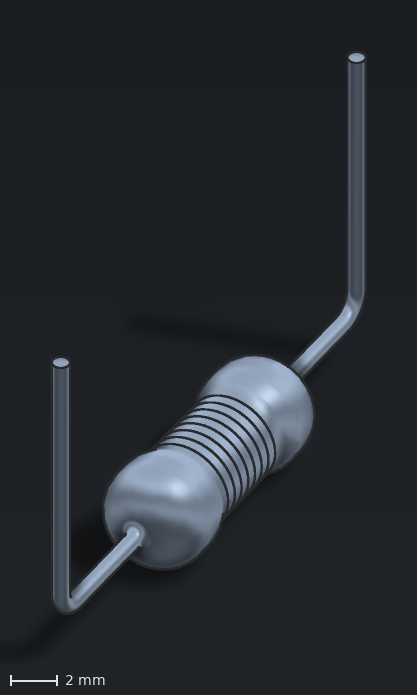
import cadquery as cq
import math


lead_radius = 0.4
overall_length = 25.8
overall_height = 16.1
bend_radius = 1.19

cap_radius = 2.5
waist_radius = 2.128
cap_inner = 3.45
cap_outer = 4.23
waist_half_length = 1.99
dome_radius = 1.8
meniscus_radius = 0.45

band_radius = 2.15
band_width = 0.57
band_pitch = 1.14
band_count = 4

lead_offset = overall_length / 2 - lead_radius
lead_top = overall_height - cap_radius
bend_start = lead_offset - bend_radius

dome_center_radius = cap_radius - dome_radius
meniscus_center_radius = lead_radius + meniscus_radius
center_shift = meniscus_center_radius - dome_center_radius
center_distance = dome_radius + meniscus_radius
tilt = math.asin(center_shift / center_distance)
meniscus_end = cap_outer + center_distance * math.cos(tilt)
dome_tip_radius = dome_center_radius + dome_radius * math.sin(tilt)
dome_tip = cap_outer + dome_radius * math.cos(tilt)

shoulder_mid_radius = (cap_radius + waist_radius) / 2
shoulder_mid = (cap_inner + waist_half_length) / 2

outer_band_center = (band_count - 1) / 2 * band_pitch


def make_end():
    """Revolve the +Y shoulder, cap and end dome about the Y axis."""
    return (
        cq.Workplane("XY")
        .moveTo(0, outer_band_center)
        .lineTo(waist_radius, outer_band_center)
        .lineTo(waist_radius, waist_half_length)
        .tangentArcPoint((shoulder_mid_radius, shoulder_mid), relative=False)
        .tangentArcPoint((cap_radius, cap_inner), relative=False)
        .lineTo(cap_radius, cap_outer)
        .tangentArcPoint((dome_tip_radius, dome_tip), relative=False)
        .tangentArcPoint((lead_radius, meniscus_end), relative=False)
        .lineTo(0, meniscus_end)
        .close()
        .revolve(360, (0, 0, 0), (0, 1, 0))
    )


def make_lead():
    """Sweep the +Y lead from the body centre, round its bend and up to its tip."""
    path = (
        cq.Workplane("YZ")
        .lineTo(bend_start, 0)
        .tangentArcPoint((lead_offset, bend_radius), relative=False)
        .lineTo(lead_offset, lead_top)
    )
    return cq.Workplane("XZ").circle(lead_radius).sweep(path)


def make_disc(radius, width, center):
    """Make a cylinder along Y, centred at the given Y position."""
    return (
        cq.Workplane("XZ", origin=(0, center + width / 2, 0))
        .circle(radius)
        .extrude(width)
    )


waist = make_disc(waist_radius, 2 * outer_band_center, 0)
half = make_end().union(make_lead())
result = waist.union(half).union(half.mirror("XZ"))

for index in range(band_count):
    band_center = index * band_pitch - outer_band_center
    result = result.union(make_disc(band_radius, band_width, band_center))